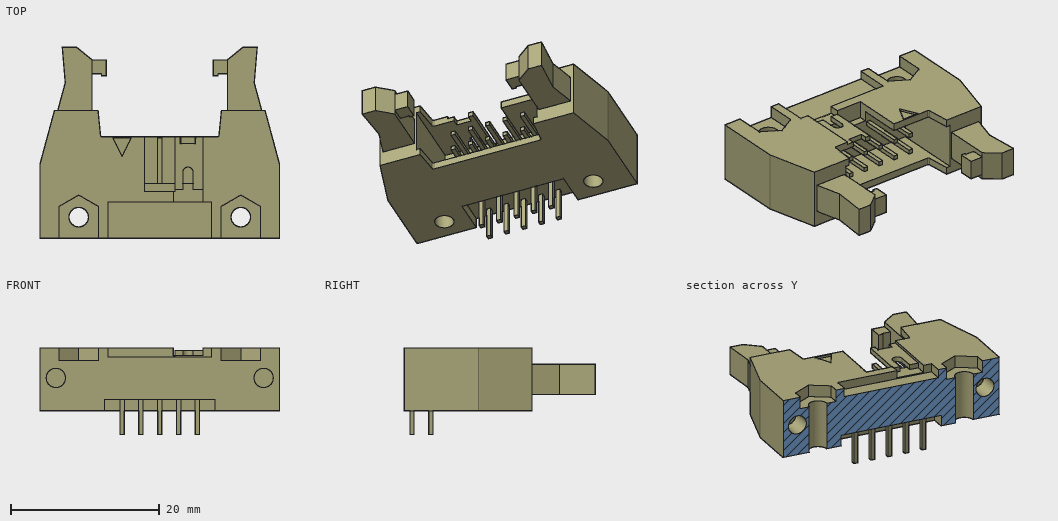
import cadquery as cq
import math


body_width = 32.3
body_height = 8.5
total_length = 25.75
straight_side_length = 10.0
shoulder_y = 17.25
shoulder_outer_x = 14.2
shoulder_inner_x = 8.3
mouth_y = 13.7
mouth_half_width = 7.95
mouth_fillet = 0.2

cavity_half_width = 8.85
cavity_back_y = 7.4
cavity_floor_z = 1.05
cavity_roof_z = body_height - cavity_floor_z

rear_recess_width = 14.0
rear_recess_depth = 4.9
rear_recess_floor_z = 7.3
pin_relief_width = 14.9
pin_relief_height = 1.55

hole_diameter = 2.6
mount_hole_x = 10.92
mount_hole_y = 2.85
nut_pocket_width = 5.3
nut_pocket_side_y = 4.3
nut_pocket_depth = 1.7
nut_apex_slope = math.radians(30)
side_hole_x = 14.0
side_hole_z = 4.45
side_hole_depth = 6.0

window_left = -2.05
window_right = 5.8
window_back_y = 6.3
window_ledge_z = 6.0
channel_left = 1.85
plate_left = 2.05
plate_back_y = 6.55
plate_top_z = 8.15
plate_slot_x = 3.8
plate_slot_width = 1.4
plate_slot_end_y = 9.6
plate_notch_width = 2.1
plate_notch_depth = 0.95

triangle_x = -5.08
triangle_base_y = 13.5
triangle_size = 2.45
triangle_depth = 0.3

pitch = 2.54
pins_per_row = 5
pin_width = 0.6
pin_tip_y = 13.5
pin_tail_length = 3.2
first_tail_y = 1.05

latch_height = 4.1
hook_height = 2.75
latch_inner_x = 9.1
latch_root_x = 13.75
latch_waist_x = 12.75
latch_waist_y = 20.95
latch_tip_outer_x = 13.15
latch_tip_inner_x = 11.2
hook_tip_x = 7.2
hook_lip_x = 7.85
hook_front_y = 24.05
hook_back_y = 22.15
hook_lip_y = 21.9


def box(x0, x1, y0, y1, z0, z1):
    """Box between two opposite corners."""
    return cq.Workplane("XY").box(x1 - x0, y1 - y0, z1 - z0, centered=False).translate((x0, y0, z0))


def prism(points, z0, z1):
    """Vertical prism over an XY outline."""
    return cq.Workplane("XY").workplane(offset=z0).polyline(points).close().extrude(z1 - z0)


def both_sides(shape):
    """The shape together with its mirror image across X = 0."""
    return shape.union(shape.mirror("YZ"))


def make_housing():
    right_side = [
        (body_width / 2, 0),
        (body_width / 2, straight_side_length),
        (shoulder_outer_x, shoulder_y),
        (shoulder_inner_x, shoulder_y),
        (mouth_half_width, mouth_y),
    ]
    left_side = [(-x, y) for x, y in reversed(right_side)]
    housing = prism(right_side + left_side, 0, body_height)
    mouth_corners = cq.selectors.BoxSelector(
        (-shoulder_inner_x, mouth_y - mouth_fillet, 0),
        (shoulder_inner_x, mouth_y + mouth_fillet, body_height),
    )
    return housing.edges("|Z").edges(mouth_corners).fillet(mouth_fillet)


def make_cavity():
    """Cavity wider than the mouth, so it also slots the shoulders."""
    return box(
        -cavity_half_width, cavity_half_width,
        cavity_back_y, shoulder_y, cavity_floor_z, cavity_roof_z,
    )


def make_rear_recesses():
    half_top = rear_recess_width / 2
    half_bottom = pin_relief_width / 2
    top = box(-half_top, half_top, 0, rear_recess_depth, rear_recess_floor_z, body_height)
    bottom = box(-half_bottom, half_bottom, 0, rear_recess_depth, 0, pin_relief_height)
    return top.union(bottom)


def make_mounting_cuts():
    half = nut_pocket_width / 2
    radius = hole_diameter / 2
    apex_y = nut_pocket_side_y + half * math.tan(nut_apex_slope)
    outline = [
        (mount_hole_x - half, 0),
        (mount_hole_x + half, 0),
        (mount_hole_x + half, nut_pocket_side_y),
        (mount_hole_x, apex_y),
        (mount_hole_x - half, nut_pocket_side_y),
    ]
    pocket = prism(outline, body_height - nut_pocket_depth, body_height)
    hole = cq.Workplane("XY").center(mount_hole_x, mount_hole_y).circle(radius).extrude(body_height)
    side_hole = cq.Workplane("XZ").center(side_hole_x, side_hole_z).circle(radius).extrude(-side_hole_depth)
    return both_sides(pocket.union(hole).union(side_hole))


def make_window():
    """Opening over the cavity with a ledge at its rear, and a channel running back to the rear recess."""
    opening = box(window_left, plate_left, window_back_y, mouth_y, window_ledge_z, body_height)
    channel = box(channel_left, window_right, rear_recess_depth, mouth_y, cavity_roof_z, body_height)
    return opening.union(channel)


def make_key_plate():
    half_notch = plate_notch_width / 2
    plate = box(plate_left, window_right, plate_back_y, mouth_y, cavity_roof_z, plate_top_z)
    radius = plate_slot_width / 2
    arc_y = plate_slot_end_y - radius
    slot = box(plate_slot_x - radius, plate_slot_x + radius, plate_back_y, arc_y, cavity_roof_z, plate_top_z)
    slot_end = (
        cq.Workplane("XY").workplane(offset=cavity_roof_z).center(plate_slot_x, arc_y)
        .circle(radius).extrude(plate_top_z - cavity_roof_z)
    )
    notch = box(
        plate_slot_x - half_notch, plate_slot_x + half_notch,
        mouth_y - plate_notch_depth, mouth_y, cavity_roof_z, plate_top_z,
    )
    return plate.cut(slot).cut(slot_end).cut(notch)


def make_triangle():
    half = triangle_size / 2
    outline = [
        (triangle_x - half, triangle_base_y),
        (triangle_x + half, triangle_base_y),
        (triangle_x, triangle_base_y - triangle_size),
    ]
    return prism(outline, body_height - triangle_depth, body_height)


def make_pins():
    """Two rows of right-angle pins, the upper row bending down nearest the rear face."""
    half = pin_width / 2
    pins = cq.Workplane("XY")
    for row in (0, 1):
        tail_y = first_tail_y + (1 - row) * pitch
        blade_z = body_height / 2 + (row - 0.5) * pitch
        for column in range(pins_per_row):
            x = (column - (pins_per_row - 1) / 2) * pitch
            tail = box(x - half, x + half, tail_y - half, tail_y + half, -pin_tail_length, blade_z + half)
            blade = box(x - half, x + half, tail_y - half, pin_tip_y, blade_z - half, blade_z + half)
            pins = pins.add(tail.union(blade))
    return pins.combine()


def make_latches():
    arm_outline = [
        (latch_inner_x, shoulder_y),
        (latch_root_x, shoulder_y),
        (latch_waist_x, latch_waist_y),
        (latch_tip_outer_x, total_length),
        (latch_tip_inner_x, total_length),
        (latch_inner_x, hook_front_y),
    ]
    hook_outline = [
        (latch_inner_x, hook_front_y),
        (hook_tip_x, hook_front_y),
        (hook_tip_x, hook_lip_y),
        (hook_lip_x, hook_lip_y),
        (hook_lip_x, hook_back_y),
        (latch_inner_x, hook_back_y),
    ]
    mid_z = body_height / 2
    arm = prism(arm_outline, mid_z - latch_height / 2, mid_z + latch_height / 2)
    hook = prism(hook_outline, mid_z - hook_height / 2, mid_z + hook_height / 2)
    return both_sides(arm.union(hook))


housing = make_housing().cut(make_cavity()).cut(make_rear_recesses()).cut(make_mounting_cuts())
housing = housing.cut(make_window()).union(make_key_plate()).cut(make_triangle())
result = housing.union(make_pins()).union(make_latches())